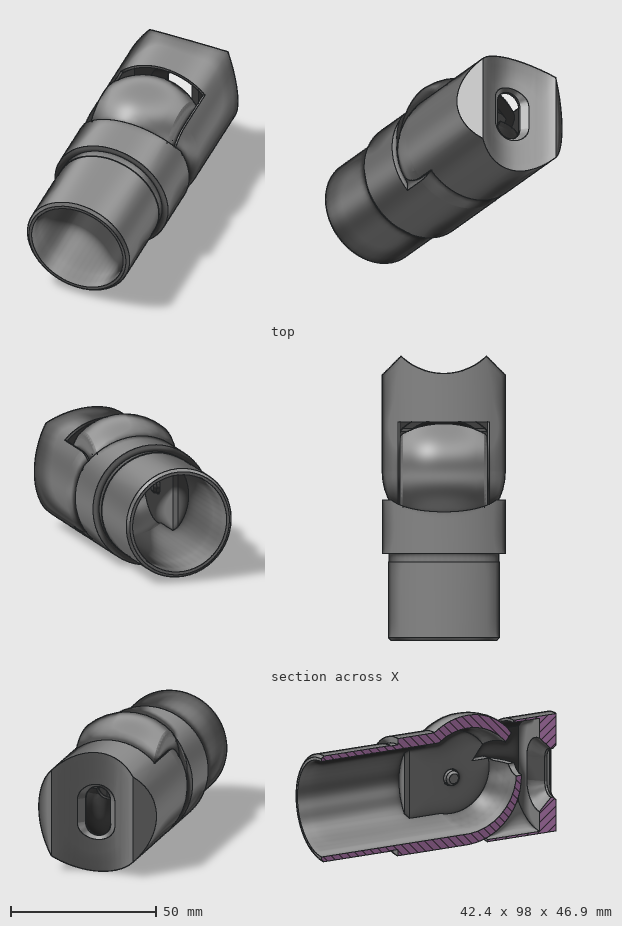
import cadquery as cq
import math

BIG = 196.0

overall_length = 98.0
overall_height = 46.9
outer_radius = 42.4 / 2
fork_end_y = 40.6
plug_end_y = fork_end_y - overall_length
tongue_half_width = 15.0

tip_half_spacing = 14.7
arm_round_y = 0.7
arm_bevel = 1.1
upper_notch_y = 17.9
lower_notch_y = 7.8
cavity_radius = 20.3
cavity_floor_y = 28.1
slot_radius = 4.5
slot_sink_radius = 9.0
slot_half_spacing = 4.2
slot_throat_length = 0.9
pin_radius = 5.2 / 2
pin_end_radius = 3.5 / 2
pin_end_x = 9.9
pin_root = 1.0

shoulder_y = -8.9
ball_center_z = overall_height - 2 * outer_radius
ball_edge_fillet = 2.9
collar_end_y = -27.4
neck_end_y = -30.4
neck_radius = 37.9 / 2
plug_radius = 38.3 / 2
plug_end_chamfer = plug_radius - 36.4 / 2
bore_radius = 34.3 / 2
bore_floor_y = -17.6
hollow_center_z = 1.9
hollow_half_width = 11.9
hollow_chamfer = 1.4
pin_hole_radius = 6.0 / 2
rim_z = 4.2
rim_start_y = 15.7
sill_z = 4.8
sill_front_y = 14.6
lip_y = 17.0
lip_z = 16.4
lip_angle = 53.0
notch_radius = 4.7
notch_z = 5.7


def y_cylinder(radius, y_start, y_end, z=0.0):
    """Cylinder along Y between two Y positions."""
    return cq.Workplane("XZ", origin=(0, y_start, z)).circle(radius).extrude(y_start - y_end)


def x_cylinder(radius, x_start, x_end):
    """Cylinder on the hinge axis between two X positions."""
    return cq.Workplane("YZ", origin=(x_start, 0, 0)).circle(radius).extrude(x_end - x_start)


def block(x_half, y_range, z_range):
    """Box symmetric about X = 0."""
    y_low, y_high = y_range
    z_low, z_high = z_range
    box = cq.Workplane("XY").box(2 * x_half, y_high - y_low, z_high - z_low)
    return box.translate((0, (y_low + y_high) / 2, (z_low + z_high) / 2))


def ball(radius, y=0.0, z=0.0):
    """Sphere with its poles on the X direction."""
    return cq.Workplane("YZ").sphere(radius).translate((0, y, z))


def fork_blank():
    tube = y_cylinder(outer_radius, arm_round_y, fork_end_y)
    return tube.union(ball(outer_radius, arm_round_y))


def saddle_cutter():
    saddle_center_y = fork_end_y + math.sqrt(outer_radius**2 - tip_half_spacing**2)
    return cq.Workplane("XY").center(0, saddle_center_y).circle(outer_radius).extrude(BIG, both=True)


def tip_bevel_cutter(side):
    """45 degree corner on one side of the saddle."""
    bevel = outer_radius - tip_half_spacing
    corner = [
        (side * tip_half_spacing, fork_end_y),
        (side * outer_radius, fork_end_y - bevel),
        (side * outer_radius, fork_end_y),
    ]
    return cq.Workplane("XY").polyline(corner).close().extrude(BIG, both=True)


def fork_hollow():
    """Space for the tongue, open at the top and bottom between the arms."""
    deep = y_cylinder(cavity_radius, lower_notch_y, cavity_floor_y)
    deep = deep.intersect(block(tongue_half_width, (-BIG, BIG), (-BIG, BIG)))
    between_arms = block(tongue_half_width, (-BIG, lower_notch_y), (-BIG, BIG))
    upper_mouth = block(tongue_half_width, (0, upper_notch_y), (0, BIG))
    return deep.union(between_arms).union(upper_mouth)


def section(points, y):
    """Closed outline across the tube at one Y position."""
    return cq.Workplane("XZ", origin=(0, y, 0)).polyline(points).close()


def arm_bevel_cutter(side):
    """Bevel along the inner edge of one arm: straight on the tube, turned on the rounded end."""
    inner_corner = math.sqrt(outer_radius**2 - tongue_half_width**2)
    bevel_x = tongue_half_width + arm_bevel * inner_corner / outer_radius
    bevel_z = math.sqrt(outer_radius**2 - bevel_x**2)
    profile = [
        (side * tongue_half_width, inner_corner - arm_bevel),
        (side * bevel_x, bevel_z),
        (side * bevel_x, outer_radius),
        (side * tongue_half_width, outer_radius),
    ]
    upper = section(profile, arm_round_y).extrude(arm_round_y - upper_notch_y)
    lower = section(profile, arm_round_y).extrude(arm_round_y - lower_notch_y).mirror("XY")
    turned = section(profile, arm_round_y).revolve(360, (0, 0, 0), (1, 0, 0))
    turned = turned.intersect(block(BIG, (-BIG, arm_round_y), (-BIG, BIG)))
    return upper.union(lower).union(turned)


def upright_slot(radius, y):
    length = 2 * (slot_half_spacing + radius)
    return cq.Workplane("XZ", origin=(0, y, 0)).slot2D(length, 2 * radius, 90)


def bolt_slot():
    """Upright slot with 45 degree flares into the hollow and into the saddle."""
    throat_y = cavity_floor_y + slot_sink_radius - slot_radius
    flare_y = throat_y + slot_throat_length
    sink = upright_slot(slot_sink_radius, cavity_floor_y).extrude(cavity_floor_y - throat_y, taper=45)
    throat = upright_slot(slot_radius, throat_y).extrude(-slot_throat_length)
    flare = upright_slot(slot_radius, flare_y).extrude(flare_y - fork_end_y, taper=-45)
    return sink.union(throat).union(flare)


def hinge_pin(side):
    """Pin on the inside of an arm, with a chamfered free end."""
    pin = x_cylinder(pin_radius, pin_end_x, tongue_half_width + pin_root)
    pin = pin.faces("<X").chamfer(pin_radius - pin_end_radius)
    return pin if side > 0 else pin.mirror("YZ")


def make_fork():
    fork = fork_blank().cut(saddle_cutter()).cut(fork_hollow()).cut(bolt_slot())
    for side in (-1, 1):
        fork = fork.cut(tip_bevel_cutter(side)).cut(arm_bevel_cutter(side))
        fork = fork.union(hinge_pin(side))
    return fork


def collar():
    """Full-diameter collar, with pockets for the rounded arm ends beside the tongue."""
    body = y_cylinder(outer_radius, collar_end_y, shoulder_y)
    return body.cut(ball(outer_radius)).cut(ball(outer_radius, 0, ball_center_z))


def tongue():
    """Flat-sided tongue: level with the collar below, raised ball with rounded edges above."""
    slab = block(tongue_half_width, (-BIG, BIG), (-BIG, BIG))
    level = ball(outer_radius).union(y_cylinder(outer_radius, shoulder_y, 0)).intersect(slab)
    raised = ball(outer_radius, 0, ball_center_z).intersect(slab)
    raised = raised.edges("%CIRCLE").fillet(ball_edge_fillet)
    upper_half = block(BIG, (-BIG, BIG), (0, BIG))
    return level.union(raised.intersect(upper_half))


def plug():
    neck = y_cylinder(neck_radius, neck_end_y, collar_end_y)
    end = y_cylinder(plug_radius, plug_end_y, neck_end_y).faces("<Y").chamfer(plug_end_chamfer)
    return neck.union(end)


def hollow():
    """Inside of the tongue, with bevelled edges where it opens into the bore."""
    inside = y_cylinder(bore_radius, bore_floor_y, 0)
    bevel_end_y = bore_floor_y + hollow_chamfer
    wide = hollow_half_width + hollow_chamfer
    mouth = [
        (-wide, bore_floor_y),
        (wide, bore_floor_y),
        (hollow_half_width, bevel_end_y),
        (-hollow_half_width, bevel_end_y),
    ]
    bevel = cq.Workplane("XY").polyline(mouth).close().extrude(BIG, both=True).intersect(inside)
    dome = ball(bore_radius + hollow_center_z, 0, hollow_center_z)
    between_walls = block(hollow_half_width, (bore_floor_y, BIG), (-BIG, BIG))
    return inside.union(dome).intersect(between_walls).union(bevel)


def window():
    """Front opening between the flat rim and the sloping lip."""
    slope = math.tan(math.radians(lip_angle))
    sill_back_y = lip_y - (lip_z - sill_z) / slope
    far_y = lip_y + (BIG - lip_z) / slope
    outline = [
        (sill_back_y, sill_z),
        (sill_front_y, sill_z),
        (rim_start_y, rim_z),
        (far_y, rim_z),
        (far_y, BIG),
    ]
    return cq.Workplane("YZ").polyline(outline).close().extrude(BIG, both=True)


def rim_notch():
    return y_cylinder(notch_radius, 0, BIG, notch_z)


def make_ball_joint():
    body = collar().union(tongue()).union(plug())
    body = body.cut(y_cylinder(bore_radius, plug_end_y, bore_floor_y)).cut(hollow())
    body = body.cut(window()).cut(rim_notch())
    return body.cut(x_cylinder(pin_hole_radius, -BIG, BIG))


fork = make_fork()
ball_joint = make_ball_joint()
result = cq.Compound.makeCompound([fork.val(), ball_joint.val()])